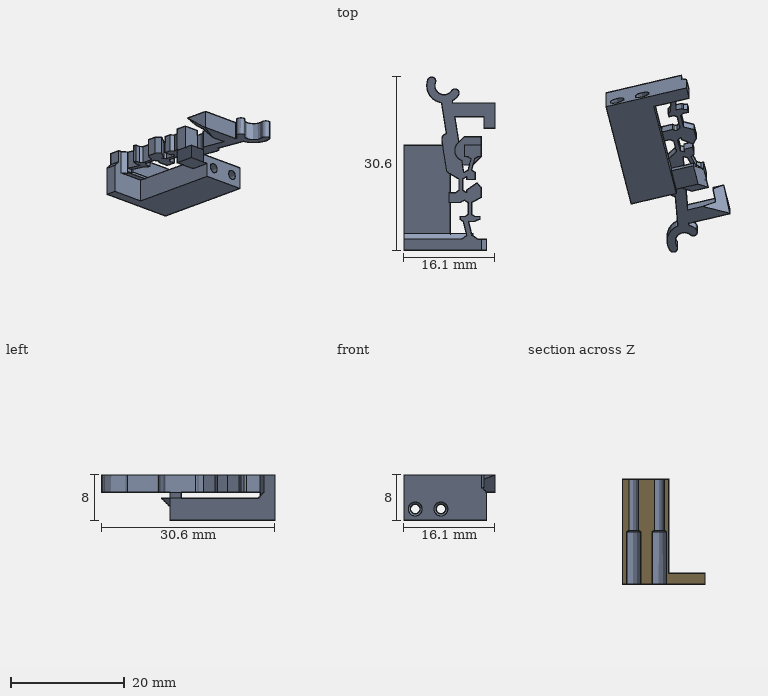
import cadquery as cq
import math

total_length = 30.55
total_width = 16.07
total_height = 8.0

body_width = 8.2
body_length = 18.55
body_height = 3.95

arm_thickness = 3.05
arm_bottom = total_height - arm_thickness

wall_width = 14.6
wall_thickness = 2.0
wall_step = 0.95
strip_width = 12.15

hole_positions_x = (2.02, 6.55)
hole_z = 2.02
bore_diameter = 2.45
through_diameter = 1.65
bore_depth = body_length / 2
drill_point_angle = 118.0

pad_left = 10.65
pad_right = wall_width - wall_step
pad_front = 16.53
bracket_overhang = 1.5
bracket_bottom = body_height - bracket_overhang
bracket_front = pad_front - bracket_overhang

foot_left = 11.1
foot_top = 2.63
blade_bottom = 5.07
blade_top = 6.02
lower_link_left = 11.33
lower_link_right = 11.98
lower_link_bottom = 6.35
lower_link_top = 8.43
upper_link_left = 9.68
upper_link_right = 10.4
upper_link_bottom = 10.6
upper_link_top = 12.6
lug_top = 14.15

lean_angle = 9.0
lean = math.tan(math.radians(lean_angle))
lever_left = 6.63
lever_top = 26.0
neck_right = 8.58
notch_y = 13.8
shoulder_x = 7.7
shoulder_y = 19.58
shoulder_radius = 1.0
shoulder_end = 19.37
heel_y = 14.0
pad_clearance_x = 10.85
pad_clearance_y = 17.6
pad_clearance_radius = 1.85

catch_inner_y = 23.52
catch_end_y = 21.5
catch_end_left = 14.08
catch_inner_left = 9.0
undercut_rise_x = 0.38
undercut_rise_y = 0.7

hook_x = 7.1
hook_inner_radius = 1.6
hook_outer_radius = 3.05
hook_start_angle = 160.0
hook_end_angle = -34.0
hook_mid_radius = (hook_inner_radius + hook_outer_radius) / 2
hook_tip_radius = (hook_outer_radius - hook_inner_radius) / 2
hook_y = (total_length - hook_tip_radius
          - hook_mid_radius * math.sin(math.radians(hook_start_angle)))


def plate(points, bottom=arm_bottom, top=total_height):
    """Upright prism over a closed XY outline."""
    return cq.Workplane("XY").workplane(offset=bottom).polyline(points).close().extrude(top - bottom)


def block(x0, x1, y0, y1, z0, z1):
    """Box given by its limits along each axis."""
    return cq.Workplane("XY").box(x1 - x0, y1 - y0, z1 - z0, centered=False).translate((x0, y0, z0))


def base():
    """Body slab with the upright wall and the sloped strip between them."""
    slab = block(0, body_width, 0, body_length, 0, body_height)
    wall = (
        cq.Workplane("XZ")
        .polyline([
            (0, 0), (wall_width, 0), (wall_width, arm_bottom),
            (pad_right, arm_bottom + wall_step), (pad_right, total_height), (0, total_height),
        ])
        .close()
        .extrude(-wall_thickness)
    )
    strip_rise = arm_bottom - body_height
    strip = (
        cq.Workplane("YZ")
        .polyline([
            (0, body_height), (wall_thickness + strip_rise, body_height),
            (wall_thickness, arm_bottom), (0, arm_bottom),
        ])
        .close()
        .extrude(strip_width)
    )
    return slab.union(wall).union(strip)


def stepped_hole(x):
    """Bore along Y from the wall face, closing on a drill-point cone to a narrower through hole."""
    bore_radius = bore_diameter / 2
    through_radius = through_diameter / 2
    cone_length = (bore_radius - through_radius) / math.tan(math.radians(drill_point_angle / 2))
    cone_end = bore_depth + cone_length
    cutter = (
        cq.Workplane("XY")
        .polyline([
            (0, 0), (bore_radius, 0), (bore_radius, bore_depth),
            (through_radius, cone_end), (through_radius, body_length), (0, body_length),
        ])
        .close()
        .revolve(360, (0, 0, 0), (0, 1, 0))
    )
    return cutter.translate((x, 0, hole_z))


def bracket():
    """Ledge on the body side whose free sides overhang at 45 degrees."""
    reach_x = pad_right
    reach_y = body_length + bracket_overhang
    root_x = reach_x - bracket_overhang
    corner_x = pad_left - bracket_overhang
    plan = plate(
        [
            (body_width, bracket_front), (root_x, bracket_front), (reach_x, pad_front),
            (reach_x, reach_y), (pad_left, reach_y), (corner_x, body_length), (body_width, body_length),
        ],
        bracket_bottom, body_height,
    )
    side_slope = (
        cq.Workplane("YZ")
        .polyline([
            (bracket_front, bracket_bottom), (body_length, bracket_bottom),
            (reach_y, body_height), (bracket_front, body_height),
        ])
        .close()
        .extrude(total_width)
    )
    end_slope = (
        cq.Workplane("XZ")
        .polyline([
            (body_width, bracket_bottom), (root_x, bracket_bottom),
            (reach_x, body_height), (body_width, body_height),
        ])
        .close()
        .extrude(-total_length)
    )
    return plan.intersect(side_slope).intersect(end_slope)


def lower_links():
    """Foot on the wall, leaning link, thin blade and the link above it."""
    foot = plate(
        [(10.15, wall_thickness), (foot_left, foot_top), (strip_width, foot_top), (13.08, wall_thickness)],
        body_height,
    )
    leaning_link = plate([(foot_left, foot_top), (12.05, foot_top), (11.43, blade_bottom), (10.48, blade_bottom)])
    blade = plate([
        (10.48, blade_bottom), (12.5, blade_bottom), (12.8, 5.3), (13.45, 5.47), (13.45, blade_top),
        (12.5, blade_top), (lower_link_right, lower_link_bottom), (lower_link_left, lower_link_bottom),
        (10.85, blade_top), (9.93, blade_top), (9.93, 5.47),
    ])
    link = block(lower_link_left, lower_link_right, lower_link_bottom, lower_link_top,
                 arm_bottom, total_height)
    return foot.union(leaning_link).union(blade).union(link)


def middle_block():
    """Wide block with a stop finger, and the link that rises from it."""
    stop = plate([
        (8.0, lower_link_top), (10.02, lower_link_top), (10.2, 8.6), (10.7, 8.8),
        (lower_link_left, lower_link_top), (lower_link_right, lower_link_top),
        (pad_right, 9.35), (pad_right, 11.05), (12.9, 11.9), (11.05, 10.63), (11.05, 10.2),
        (upper_link_right, upper_link_bottom), (upper_link_left, upper_link_bottom),
        (9.1, 10.17), (8.0, 10.17),
    ])
    link = block(upper_link_left, upper_link_right, upper_link_bottom, upper_link_top,
                 arm_bottom, total_height)
    return stop.union(link)


def anchor():
    """Lug beside the lever, leaning link and the pad standing on the bracket."""
    lug = plate([
        (upper_link_right, upper_link_top), (11.05, 12.95), (11.05, 12.45), (12.62, 12.45), (12.62, 13.75),
        (11.98, lug_top), (11.3, lug_top), (10.7, notch_y), (upper_link_right, notch_y),
    ])
    link = plate([
        (11.3, lug_top), (11.98, lug_top), (12.45, 16.15), (13.15, pad_front), (11.18, pad_front), (11.85, 16.15),
    ])
    pad = block(pad_left, pad_right, pad_front, body_length, body_height, total_height)
    return lug.union(link).union(pad)


def lever():
    """Leaning lever with a rounded shoulder, hollowed around the anchor pad."""
    shoulder_top = shoulder_y + shoulder_radius
    shoulder_left = shoulder_x - shoulder_radius
    profile = plate([
        (lever_left, lever_top), (lever_left + lean * (lever_top - shoulder_top), shoulder_top),
        (shoulder_x, shoulder_y), (shoulder_left, shoulder_y), (shoulder_left, shoulder_end),
        (shoulder_left + lean * (shoulder_end - heel_y), heel_y), (7.97, 13.55),
        (upper_link_left, upper_link_top), (upper_link_right, upper_link_top),
        (catch_inner_left + lean * (catch_inner_y - notch_y), notch_y),
        (catch_inner_left, catch_inner_y), (neck_right, lever_top),
    ])
    shoulder = (
        cq.Workplane("XY").workplane(offset=arm_bottom)
        .center(shoulder_x, shoulder_y).circle(shoulder_radius).extrude(arm_thickness)
    )
    clearance = (
        cq.Workplane("XY").workplane(offset=arm_bottom)
        .center(pad_clearance_x, pad_clearance_y).circle(pad_clearance_radius).extrude(arm_thickness)
    )
    return profile.union(shoulder).cut(clearance)


def catch_arm():
    """L-shaped arm; one sloped plane through its tip corner trims the underside."""
    arm = plate([
        (neck_right, lever_top), (neck_right, catch_inner_y), (catch_end_left, catch_inner_y),
        (catch_end_left, catch_end_y), (total_width, catch_end_y), (total_width, lever_top),
    ])
    depth_x = arm_thickness / undercut_rise_x
    depth_y = arm_thickness / undercut_rise_y
    tip = cq.Vector(total_width, catch_end_y, total_height)
    below_tip = cq.Vector(total_width, catch_end_y, arm_bottom)
    along_x = cq.Vector(total_width - depth_x, catch_end_y, arm_bottom)
    along_y = cq.Vector(total_width, catch_end_y + depth_y, arm_bottom)
    corners = [
        (tip, below_tip, along_x), (tip, along_y, below_tip),
        (tip, along_x, along_y), (below_tip, along_y, along_x),
    ]
    faces = [cq.Face.makeFromWires(cq.Wire.makePolygon(list(c), close=True)) for c in corners]
    wedge = cq.Solid.makeSolid(cq.Shell.makeShell(faces))
    return arm.cut(cq.Workplane(wedge))


def hook():
    """Open ring segment with rounded tips and a short neck down to the lever."""
    def polar(radius, angle):
        turn = math.radians(angle)
        return (hook_x + radius * math.cos(turn), hook_y + radius * math.sin(turn))

    start = hook_start_angle
    end = hook_end_angle
    sweep_end = end + 360
    middle = (start + sweep_end) / 2
    ring = (
        cq.Workplane("XY").workplane(offset=arm_bottom)
        .moveTo(*polar(hook_outer_radius, start))
        .threePointArc(polar(hook_outer_radius, middle), polar(hook_outer_radius, sweep_end))
        .lineTo(*polar(hook_inner_radius, sweep_end))
        .threePointArc(polar(hook_inner_radius, middle), polar(hook_inner_radius, start))
        .close()
        .extrude(arm_thickness)
    )
    tips = (
        cq.Workplane("XY").workplane(offset=arm_bottom)
        .pushPoints([polar(hook_mid_radius, start), polar(hook_mid_radius, end)])
        .circle(hook_tip_radius)
        .extrude(arm_thickness)
    )
    neck_top = hook_y - hook_mid_radius
    neck = block(lever_left, neck_right, lever_top, neck_top, arm_bottom, total_height)
    return ring.union(tips).union(neck)


result = base()
for hole_x in hole_positions_x:
    result = result.cut(stepped_hole(hole_x))
for feature in (bracket(), lower_links(), middle_block(), anchor(), lever(), catch_arm(), hook()):
    result = result.union(feature)